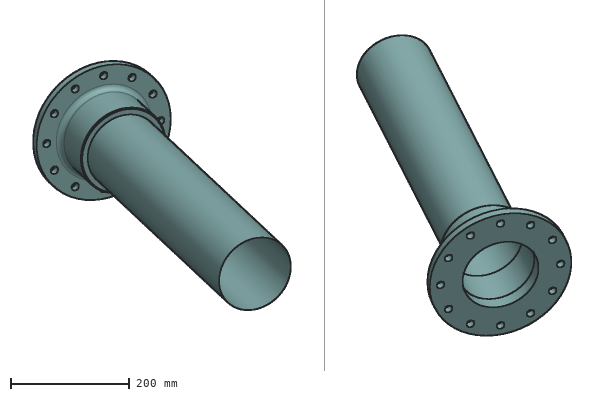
import cadquery as cq
import math

TOTAL_LENGTH = 625.0

FLANGE_DIAMETER = 250.0
FLANGE_THICKNESS = 15.0
BOLT_HOLE_DIAMETER = 13.5
BOLT_CIRCLE_DIAMETER = 212.0
BOLT_COUNT = 12

HUB_DIAMETER = 157.9
HUB_END = 95.0
HUB_FILLET = 10.0
HUB_CHAMFER = 2.0

TUBE_DIAMETER = 133.9
TUBE_WALL = 0.05
TUBE_START = FLANGE_THICKNESS + HUB_FILLET


def make_body():
    """Revolve the flange, hub and tube, open from end to end, about the X axis."""
    flange_radius = FLANGE_DIAMETER / 2
    hub_radius = HUB_DIAMETER / 2
    tube_radius = TUBE_DIAMETER / 2
    tube_inner_radius = tube_radius - TUBE_WALL

    arc_center_x = FLANGE_THICKNESS + HUB_FILLET
    arc_center_r = hub_radius + HUB_FILLET
    arc_offset = HUB_FILLET * math.sqrt(0.5)
    arc_middle = (arc_center_x - arc_offset, arc_center_r - arc_offset)

    profile = (
        cq.Workplane("XY")
        .moveTo(0, tube_radius)
        .lineTo(0, flange_radius)
        .lineTo(FLANGE_THICKNESS, flange_radius)
        .lineTo(FLANGE_THICKNESS, arc_center_r)
        .threePointArc(arc_middle, (arc_center_x, hub_radius))
        .lineTo(HUB_END - HUB_CHAMFER, hub_radius)
        .lineTo(HUB_END, hub_radius - HUB_CHAMFER)
        .lineTo(HUB_END, tube_radius)
        .lineTo(TOTAL_LENGTH, tube_radius)
        .lineTo(TOTAL_LENGTH, tube_inner_radius)
        .lineTo(TUBE_START, tube_inner_radius)
        .lineTo(TUBE_START, tube_radius)
        .close()
    )
    return profile.revolve(360, (0, 0, 0), (1, 0, 0))


def make_bolt_holes():
    """Ring of through holes in the flange, the first one on the Y axis."""
    return (
        cq.Workplane("YZ")
        .polarArray(BOLT_CIRCLE_DIAMETER / 2, 0, 360, BOLT_COUNT)
        .circle(BOLT_HOLE_DIAMETER / 2)
        .extrude(FLANGE_THICKNESS)
    )


result = make_body().cut(make_bolt_holes())